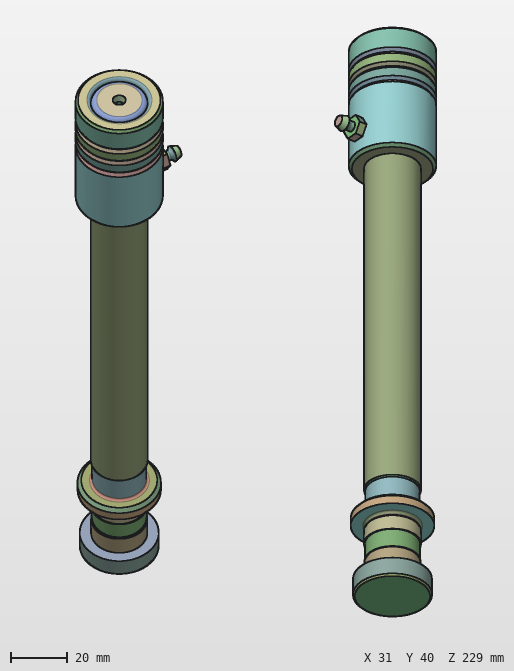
import cadquery as cq

total_height = 229.0
overall_depth = 40.0

bushing_radius = 31.0 / 2
bushing_length = 50.0
bushing_bottom = total_height - bushing_length
bushing_top_chamfer = 1.0
bushing_bottom_chamfer = 1.1
bore_lead_in = 1.4
groove_width = 2.5
groove_depth = 1.0
groove_first_drop = 10.0
groove_pitch = 6.0
groove_count = 3

pillar_radius = 10.0
pillar_bottom = 14.9
pillar_top_fillet = 2.0
shoulder_rise = 0.57
neck_radius = 9.6
neck_fillet = 1.0
neck_top = 44.0
collar_radius = 29.5 / 2
collar_bottom = 29.5
collar_top = 34.1
collar_chamfer = 1.4
relief_bottom = 27.5
relief_rise = 0.57
spigot_top = 22.0
spigot_radius = 19.5 / 2
centre_mouth_radius = 2.3
centre_drill_radius = 1.1
centre_cone_depth = 2.0
centre_drill_depth = 4.5

foot_radius = 14.0
foot_thickness = 7.3
foot_chamfer = 0.7
foot_boss_radius = 20.0 / 2
foot_boss_chamfer = 0.5

nipple_height = 189.2
nipple_tip = overall_depth - bushing_radius
hex_across_corners = 9.0
hex_end = 18.5
nipple_neck_radius = 1.8
nipple_neck_end = 20.4
nipple_head_radius = 3.0
nipple_head_widest = 22.0
nipple_tip_radius = 2.0
shank_radius = 3.0
shank_depth = 2.7


def cylinder(radius, bottom, top):
    return cq.Workplane("XY").workplane(offset=bottom).circle(radius).extrude(top - bottom)


def along_y(radius, start, end):
    """Cylinder along +Y on the nipple axis."""
    plane = cq.Workplane("XZ", origin=(0, start, nipple_height))
    return plane.circle(radius).extrude(start - end)


def nipple_shank():
    """Plain stem of the nipple, which is also the shape of its hole in the bushing."""
    return along_y(shank_radius, bushing_radius - shank_depth, bushing_radius)


def v_groove(centre):
    """Ring with a triangular section whose point faces the axis."""
    section = (
        cq.Workplane("XZ")
        .moveTo(bushing_radius, centre - groove_width / 2)
        .lineTo(bushing_radius - groove_depth, centre)
        .lineTo(bushing_radius, centre + groove_width / 2)
        .close()
    )
    return section.revolve(360, (0, 0, 0), (0, 1, 0))


def make_bushing():
    body = cylinder(bushing_radius, bushing_bottom, total_height)
    body = body.faces(">Z").chamfer(bushing_top_chamfer)
    body = body.faces("<Z").chamfer(bushing_bottom_chamfer)
    body = body.cut(cylinder(pillar_radius, bushing_bottom, total_height))
    bore_mouth = cq.selectors.RadiusNthSelector(0)
    body = body.faces(">Z").edges("%CIRCLE").edges(bore_mouth).fillet(bore_lead_in)
    for index in range(groove_count):
        centre = total_height - groove_first_drop - index * groove_pitch
        body = body.cut(v_groove(centre))
    return body.cut(nipple_shank())


def make_pillar():
    profile = (
        cq.Workplane("XZ")
        .moveTo(0, pillar_bottom)
        .lineTo(spigot_radius, pillar_bottom)
        .lineTo(spigot_radius, spigot_top)
        .lineTo(pillar_radius, spigot_top)
        .lineTo(pillar_radius, relief_bottom)
        .lineTo(neck_radius, relief_bottom + relief_rise)
        .lineTo(neck_radius, collar_bottom - neck_fillet)
        .radiusArc((neck_radius + neck_fillet, collar_bottom), neck_fillet)
        .lineTo(collar_radius, collar_bottom)
        .lineTo(collar_radius, collar_top - collar_chamfer)
        .lineTo(collar_radius - collar_chamfer, collar_top)
        .lineTo(neck_radius + neck_fillet, collar_top)
        .radiusArc((neck_radius, collar_top + neck_fillet), neck_fillet)
        .lineTo(neck_radius, neck_top)
        .lineTo(pillar_radius, neck_top + shoulder_rise)
        .lineTo(pillar_radius, total_height)
        .lineTo(0, total_height)
        .close()
    )
    pillar = profile.revolve(360, (0, 0, 0), (0, 1, 0))
    pillar = pillar.faces(">Z").edges().fillet(pillar_top_fillet)
    return pillar.cut(centre_hole())


def centre_hole():
    profile = (
        cq.Workplane("XZ")
        .moveTo(0, total_height)
        .lineTo(centre_mouth_radius, total_height)
        .lineTo(centre_drill_radius, total_height - centre_cone_depth)
        .lineTo(centre_drill_radius, total_height - centre_drill_depth)
        .lineTo(0, total_height - centre_drill_depth)
        .close()
    )
    return profile.revolve(360, (0, 0, 0), (0, 1, 0))


def make_foot():
    disc = cylinder(foot_radius, 0, foot_thickness).faces("<Z").chamfer(foot_chamfer)
    boss = cylinder(foot_boss_radius, foot_thickness, pillar_bottom).faces(">Z").chamfer(foot_boss_chamfer)
    return disc.union(boss)


def make_nipple():
    hexagon = cq.Workplane("XZ", origin=(0, bushing_radius, nipple_height))
    hexagon = hexagon.polygon(6, hex_across_corners).extrude(bushing_radius - hex_end)
    head = (
        cq.Workplane("XY", origin=(0, 0, nipple_height))
        .moveTo(0, hex_end)
        .lineTo(nipple_neck_radius, hex_end)
        .lineTo(nipple_neck_radius, nipple_neck_end)
        .tangentArcPoint((nipple_head_radius, nipple_head_widest), relative=False)
        .lineTo(nipple_tip_radius, nipple_tip)
        .lineTo(0, nipple_tip)
        .close()
        .revolve(360, (0, 0, 0), (0, 1, 0))
    )
    return nipple_shank().union(hexagon).union(head)


bushing = make_bushing()
pillar = make_pillar()
foot = make_foot()
nipple = make_nipple()

result = cq.Compound.makeCompound([bushing.val(), pillar.val(), foot.val(), nipple.val()])